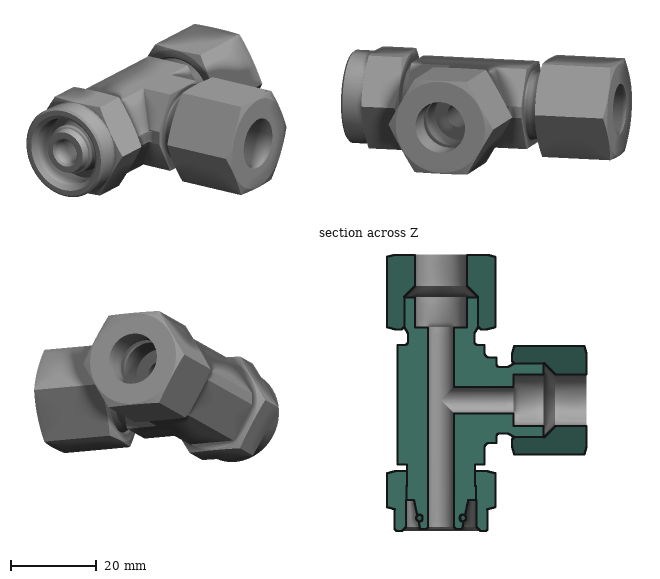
import cadquery as cq
import math

CORNER_RATIO = 2 / math.sqrt(3)

body_flats = 19.0
run_half_width = 10.2
branch_half_width = 10.05
body_back = 13.0
body_front = 15.0
inside_corner_radius = 1.0
bore_radius = 3.0

RUN_TURN = 0
BRANCH_TURN = -90
THREADED_ARMS = [RUN_TURN, BRANCH_TURN]
thread_radius = 8.65
undercut_radius = 7.85
undercut_fillet = 0.5
undercut_end = 15.65
undercut_angle = 30.0
stub_end = 24.0
tube_radius = 6.0
socket_depth = 7.0

nut_flats = 22.0
nut_start = 16.5
nut_end = 34.0
nut_face_radius = 10.8
nut_chamfer_angle = 15.0
entry_radius = 9.2

neck_radius = 8.0
collar_radius = 8.2
collar_start = -20.0
collar_face = -23.3
nose_face = -30.1
nose_radius = 4.95
cone_angle = 12.0
nose_countersink = 0.45

swivel_back = -16.5
swivel_hex_front = -25.5
swivel_face = -30.6
swivel_skirt_radius = 10.9
swivel_chamfer = 0.5

ring_section_radius = 0.75
ring_outer_radius = 5.9
ring_centre = -27.5


def revolve_about_y(points):
    """Solid of revolution about Y from (radius, y) points."""
    return cq.Workplane("XY").polyline(points).close().revolve(360, (0, 0, 0), (0, 1, 0))


def onto_arm(shape, turn):
    """Turn a shape from the +Y end of the run onto the arm at the given angle about Z."""
    return shape.rotate((0, 0, 0), (0, 0, 1), turn)


def hexagon_bar(flats, start, end):
    """Hexagonal bar along Y with flats facing up and down."""
    plane = cq.Plane(origin=(0, start, 0), xDir=(1, 0, 0), normal=(0, 1, 0))
    return cq.Workplane(plane).polygon(6, flats * CORNER_RATIO).extrude(end - start)


def chamfered_hexagon(flats, start, end):
    """Hexagonal bar along Y whose corners are turned down at both ends."""
    corner = flats * CORNER_RATIO / 2
    setback = (corner - nut_face_radius) * math.tan(math.radians(nut_chamfer_angle))
    envelope = revolve_about_y([
        (0, start),
        (nut_face_radius, start),
        (corner, start + setback),
        (corner, end - setback),
        (nut_face_radius, end),
        (0, end),
    ])
    return hexagon_bar(flats, start, end).intersect(envelope)


def flattened_bar(half_width, start, end):
    """Hexagonal bar along Y with its two side corners cut flat."""
    bar = hexagon_bar(body_flats, start, end)
    middle = (start + end) / 2
    slab = cq.Workplane("XY").box(2 * half_width, end - start, body_flats).translate((0, middle, 0))
    return bar.intersect(slab)


def threaded_stub():
    """Undercut and thread of one tube end, along +Y."""
    rise = (thread_radius - undercut_radius) / math.tan(math.radians(undercut_angle))
    return (
        cq.Workplane("XY")
        .moveTo(0, 0)
        .lineTo(undercut_radius + undercut_fillet, 0)
        .lineTo(undercut_radius + undercut_fillet, body_back)
        .radiusArc((undercut_radius, body_back + undercut_fillet), undercut_fillet)
        .lineTo(undercut_radius, undercut_end)
        .lineTo(thread_radius, undercut_end + rise)
        .lineTo(thread_radius, stub_end)
        .lineTo(0, stub_end)
        .close()
        .revolve(360, (0, 0, 0), (0, 1, 0))
    )


def tube_bore():
    """Flow bore with the tube socket at its outer end, along +Y."""
    socket_floor = stub_end - socket_depth
    return revolve_about_y([
        (0, 0),
        (bore_radius, 0),
        (bore_radius, socket_floor),
        (tube_radius, socket_floor),
        (tube_radius, stub_end),
        (0, stub_end),
    ])


def swivel_stub():
    """Neck, collar and sealing cone, along -Y."""
    cone_length = collar_face - nose_face
    cone_root = nose_radius + cone_length * math.tan(math.radians(cone_angle))
    return revolve_about_y([
        (0, 0),
        (neck_radius, 0),
        (neck_radius, collar_start),
        (collar_radius, collar_start),
        (collar_radius, collar_face),
        (cone_root, collar_face),
        (nose_radius, nose_face),
        (0, nose_face),
    ])


def swivel_bore():
    """Flow bore with a countersunk mouth in the nose, along -Y."""
    return revolve_about_y([
        (0, 0),
        (bore_radius, 0),
        (bore_radius, nose_face + nose_countersink),
        (bore_radius + nose_countersink, nose_face),
        (0, nose_face),
    ])


def seal_ring():
    """O-ring around Y."""
    section_centre = ring_outer_radius - ring_section_radius
    return (
        cq.Workplane("XY")
        .moveTo(section_centre, ring_centre)
        .circle(ring_section_radius)
        .revolve(360, (0, 0, 0), (0, 1, 0))
    )


def inside_corner_fillet(side):
    """Concave fillet between the side flats of run and branch, on the +Y or -Y side."""
    flat_half_height = (body_flats * CORNER_RATIO / 2 - run_half_width) * math.sqrt(3)
    corner_x = run_half_width
    corner_y = side * branch_half_width
    run_tangent = corner_y + side * inside_corner_radius
    branch_tangent = corner_x + inside_corner_radius
    return (
        cq.Workplane("XY")
        .moveTo(corner_x, corner_y)
        .lineTo(corner_x, run_tangent)
        .radiusArc((branch_tangent, corner_y), -side * inside_corner_radius)
        .close()
        .extrude(flat_half_height, both=True)
    )


def tee_body(ring):
    """Forged tee with its stubs and bores, grooved to seat the O-ring."""
    run = flattened_bar(run_half_width, -body_front, body_back)
    branch = onto_arm(flattened_bar(branch_half_width, 0, body_back), BRANCH_TURN)
    tee = run.union(branch)
    for side in (1, -1):
        tee = tee.union(inside_corner_fillet(side))
    tee = tee.union(swivel_stub())
    for turn in THREADED_ARMS:
        tee = tee.union(onto_arm(threaded_stub(), turn))
    tee = tee.cut(swivel_bore())
    for turn in THREADED_ARMS:
        tee = tee.cut(onto_arm(tube_bore(), turn))
    return tee.cut(ring)


def union_nut():
    """Union nut on the +Y end, bored for the thread and the tube."""
    entry_depth = entry_radius - thread_radius
    taper = thread_radius - tube_radius
    opening = revolve_about_y([
        (0, nut_start),
        (entry_radius, nut_start),
        (thread_radius, nut_start + entry_depth),
        (thread_radius, stub_end),
        (tube_radius, stub_end + taper),
        (tube_radius, nut_end),
        (0, nut_end),
    ])
    return chamfered_hexagon(nut_flats, nut_start, nut_end).cut(opening)


def swivel_nut():
    """Nut held on the neck by the collar, with a round skirt in front of its hexagon."""
    hexagon = chamfered_hexagon(nut_flats, swivel_hex_front, swivel_back)
    skirt = revolve_about_y([
        (0, swivel_hex_front),
        (swivel_skirt_radius, swivel_hex_front),
        (swivel_skirt_radius, swivel_face + swivel_chamfer),
        (swivel_skirt_radius - swivel_chamfer, swivel_face),
        (0, swivel_face),
    ])
    opening = revolve_about_y([
        (0, swivel_back),
        (neck_radius, swivel_back),
        (neck_radius, collar_start),
        (collar_radius, collar_start),
        (collar_radius, swivel_face + entry_radius - collar_radius),
        (entry_radius, swivel_face),
        (0, swivel_face),
    ])
    return hexagon.union(skirt).cut(opening)


o_ring = seal_ring()
tee = tee_body(o_ring)
union_nuts = [onto_arm(union_nut(), turn).val() for turn in THREADED_ARMS]
swivel = swivel_nut()

result = cq.Compound.makeCompound([tee.val(), *union_nuts, swivel.val(), o_ring.val()])